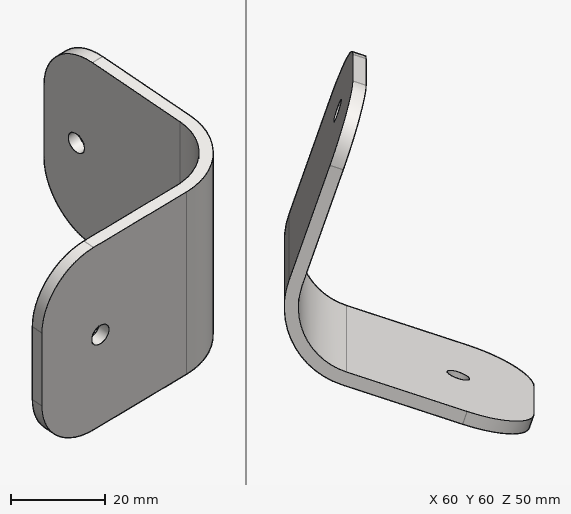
import cadquery as cq

leg_length = 60.0
height = 50.0
thickness = 3.0
inner_bend_radius = 15.0
corner_radius = 15.0
hole_diameter = 5.0
back_hole_inset = 10.0
side_hole_inset = 17.0

outer_bend_radius = inner_bend_radius + thickness
half_length = leg_length / 2


def bent_strip():
    """L-shaped strip: back leg on +Y, side leg on +X, bend between them."""
    inner_face = half_length - thickness
    profile = (
        cq.Workplane("XY")
        .moveTo(-half_length, half_length)
        .lineTo(half_length - outer_bend_radius, half_length)
        .radiusArc((half_length, half_length - outer_bend_radius), outer_bend_radius)
        .lineTo(half_length, -half_length)
        .lineTo(inner_face, -half_length)
        .lineTo(inner_face, inner_face - inner_bend_radius)
        .radiusArc((inner_face - inner_bend_radius, inner_face), -inner_bend_radius)
        .lineTo(-half_length, inner_face)
        .close()
    )
    return profile.extrude(height / 2, both=True)


def round_free_ends(body):
    """Round the upper and lower corners at the end of each leg."""
    body = body.faces("<X").edges("|Y").fillet(corner_radius)
    return body.faces("<Y").edges("|X").fillet(corner_radius)


def drill_holes(body):
    """Drill one hole through each leg at mid-height."""
    hole_radius = hole_diameter / 2
    back_start = cq.Vector(back_hole_inset - half_length, half_length - thickness, 0)
    side_start = cq.Vector(half_length - thickness, side_hole_inset - half_length, 0)
    back_hole = cq.Solid.makeCylinder(hole_radius, thickness, back_start, cq.Vector(0, 1, 0))
    side_hole = cq.Solid.makeCylinder(hole_radius, thickness, side_start, cq.Vector(1, 0, 0))
    return body.cut(cq.Workplane(back_hole)).cut(cq.Workplane(side_hole))


result = drill_holes(round_free_ends(bent_strip()))